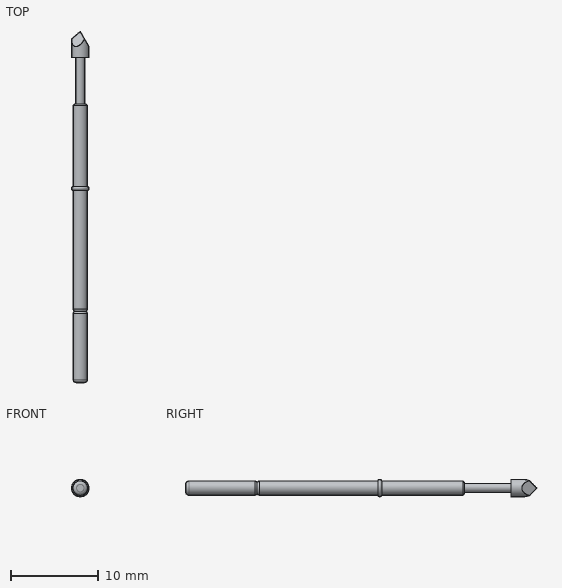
import cadquery as cq
import math


overall_length = 40.3
tip_y = 18.02
head_length = 3.0
plunger_length = 5.3
head_base_y = tip_y - head_length
barrel_mouth_y = head_base_y - plunger_length
tail_y = tip_y - overall_length

head_radius = 1.0
plunger_radius = 0.53
tip_facets = 3
facet_half_angle = 30.0

barrel_radius = 0.83
mouth_radius = 0.63
mouth_taper_length = 0.2
tail_fillet_radius = 0.4

collar_radius = 1.0
collar_width = 0.48
collar_rim_radius = collar_width / 2

crimp_y = -14.08
crimp_width = 0.5
crimp_depth = 0.12


def rod(radius, start_y, end_y):
    """Cylinder on the Y axis from start_y up to end_y."""
    return (
        cq.Workplane("XZ", origin=(0, start_y, 0))
        .circle(radius)
        .extrude(start_y - end_y)
    )


def revolve_about_y(profile):
    """Full revolution of an XY half-profile about the Y axis."""
    return profile.revolve(360, (0, 0, 0), (0, 1, 0))


def make_barrel():
    """Tube body with tapered mouth, crimp groove and rounded tail."""
    fillet_mid = tail_fillet_radius * (1 - math.sqrt(0.5))
    profile = (
        cq.Workplane("XY")
        .moveTo(0, tail_y)
        .lineTo(barrel_radius - tail_fillet_radius, tail_y)
        .threePointArc(
            (barrel_radius - fillet_mid, tail_y + fillet_mid),
            (barrel_radius, tail_y + tail_fillet_radius),
        )
        .lineTo(barrel_radius, crimp_y - crimp_width / 2)
        .lineTo(barrel_radius - crimp_depth, crimp_y)
        .lineTo(barrel_radius, crimp_y + crimp_width / 2)
        .lineTo(barrel_radius, barrel_mouth_y - mouth_taper_length)
        .lineTo(mouth_radius, barrel_mouth_y)
        .lineTo(0, barrel_mouth_y)
        .close()
    )
    return revolve_about_y(profile)


def make_collar():
    """Press-fit ring around the barrel with a semicircular rim."""
    rim_start = collar_radius - collar_rim_radius
    profile = (
        cq.Workplane("XY")
        .moveTo(0, -collar_width / 2)
        .lineTo(rim_start, -collar_width / 2)
        .threePointArc((collar_radius, 0), (rim_start, collar_width / 2))
        .lineTo(0, collar_width / 2)
        .close()
    )
    return revolve_about_y(profile)


def make_tip_cutter():
    """Wedge outside the tip facet that faces +X."""
    reach = 2 * head_radius
    reach_length = reach / math.tan(math.radians(facet_half_angle))
    return (
        cq.Workplane("XY", origin=(0, 0, -reach))
        .moveTo(0, tip_y)
        .lineTo(reach, tip_y - reach_length)
        .lineTo(reach, tip_y + reach)
        .lineTo(0, tip_y + reach)
        .close()
        .extrude(2 * reach)
    )


def make_head():
    """Round head sharpened to a three-sided point."""
    head = rod(head_radius, head_base_y, tip_y)
    for index in range(tip_facets):
        angle = index * 360 / tip_facets
        head = head.cut(make_tip_cutter().rotate((0, 0, 0), (0, 1, 0), angle))
    return head


plunger = rod(plunger_radius, barrel_mouth_y, head_base_y)
result = make_barrel().union(make_collar()).union(plunger).union(make_head())